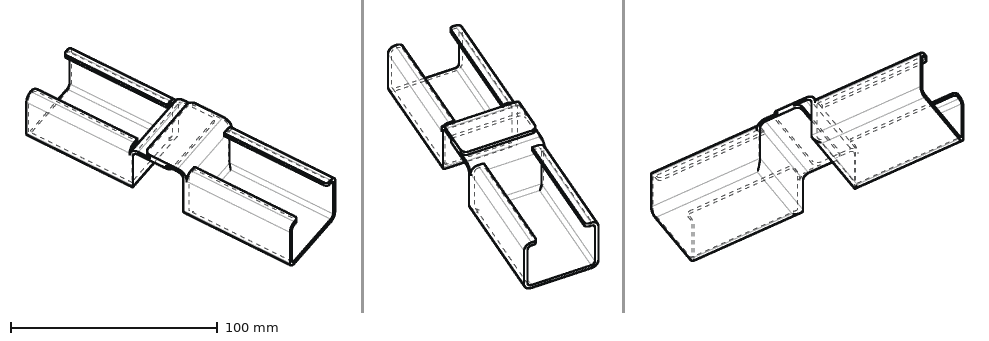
import cadquery as cq

total_length = 152.5
width = 40.0
channel_height = 30.5
sheet = 2.0

wall_face = 61.8
tongue_end = 84.0
lip_reach = 7.0
channel_bend = 4.0
tongue_bend = 5.0
lip_corner = 1.8
tongue_corner = 3.0

wall_inside = wall_face - sheet
inner_bend = channel_bend - sheet
overlap = 1.5


def box(x_start, x_end, y_size, z_start, z_end):
    """Box centred on Y between the given X and Z limits."""
    corner = (x_start, -y_size / 2, z_start)
    return cq.Workplane("XY").box(x_end - x_start, y_size, z_end - z_start, centered=False).translate(corner)


def channel():
    """Straight channel with rounded folds, in-turned lips and a fold up to the end wall."""
    outer = box(0, wall_inside, width, 0, channel_height).edges("|X").fillet(channel_bend)
    cavity = box(-overlap, wall_inside, width - 2 * sheet, sheet, channel_height - sheet)
    cavity = cavity.edges("|X").fillet(inner_bend)
    fold_limit = box(-overlap, wall_inside, width, sheet, channel_height)
    fold_limit = fold_limit.edges(">X and <Z").fillet(inner_bend)
    cavity = cavity.intersect(fold_limit)

    mouth = box(-overlap, wall_inside, width - 2 * lip_reach, channel_height / 2, channel_height + overlap)
    return outer.cut(cavity).cut(mouth)


def lip_corner_waste():
    """Material removed to round the free corner of both lips in plan."""
    lip_bottom = channel_height - sheet
    inner_edge = width / 2 - lip_reach
    square = box(0, lip_corner, 2 * (inner_edge + lip_corner), lip_bottom, channel_height)
    for side in (-1, 1):
        disc = (
            cq.Workplane("XY", origin=(lip_corner, side * (inner_edge + lip_corner), lip_bottom))
            .circle(lip_corner)
            .extrude(sheet)
        )
        square = square.cut(disc)
    return square


def end_strip(tongue_top):
    """End wall and tongue, one bent strip across the full width."""
    outer = box(wall_inside, tongue_end, width, 0, tongue_top)
    outer = outer.edges("<X and >Z").fillet(tongue_bend)
    hollow = box(wall_face, tongue_end + overlap, width, -overlap, tongue_top - sheet)
    hollow = hollow.edges("<X and >Z").fillet(tongue_bend - sheet)
    strip = outer.cut(hollow)
    strip = strip.edges("|Z and >X").fillet(tongue_corner)
    section = box(0, tongue_end, width, 0, tongue_top)
    return strip.intersect(section.edges("|X and <Z").fillet(channel_bend))


def floor_fold_waste():
    """Material outside the fold between floor and end wall."""
    fold_start = wall_face - channel_bend
    corner = box(fold_start, wall_face, width, 0, channel_bend)
    round_bar = (
        cq.Workplane("XZ", origin=(fold_start, width / 2, channel_bend))
        .circle(channel_bend)
        .extrude(width)
    )
    return corner.cut(round_bar)


def half(tongue_top):
    """One channel half with its free end at X = 0 and its tongue pointing to +X."""
    body = channel().cut(lip_corner_waste()).union(end_strip(tongue_top))
    return body.cut(floor_fold_waste())


lower_half = half(channel_height)
upper_half = half(channel_height + sheet).mirror("YZ").translate((total_length, 0, 0))
result = lower_half.union(upper_half)